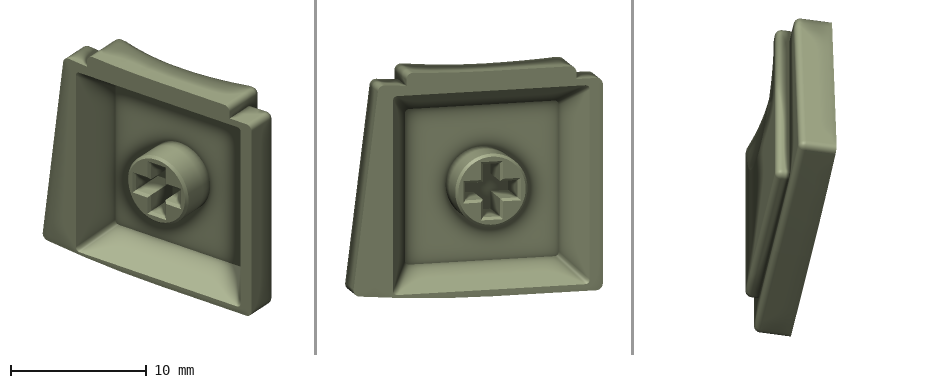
import cadquery as cq
import math


skirt_right = 8.5
skirt_left_bottom = -10.58
skirt_left_top = -8.6
skirt_half_height = 8.0
skirt_thickness = 2.8

crown_left = -6.49
crown_right = 6.5
crown_bottom = -6.5
crown_top = 9.0
crown_thickness = 3.8

bend_radius = 91.3
edge_radius = 0.5

dish_radius = 22.45
dish_depth = 0.7
dish_setback = 0.38

cavity_size = 15.0
cavity_floor_size = 11.74
cavity_depth = 2.7
cavity_corner_radius = 0.4

stem_radius = 2.75
stem_overhang = 0.19
stem_chamfer = 0.19
cross_length = 4.01
cross_width = 1.31
stem_length = cavity_depth + stem_overhang


def facing_plane(y):
    """Workplane at height y with axes X and Z; negative extrusions go toward +Y."""
    return cq.Workplane("XZ", origin=(0, y, 0))


def bent_point(x, z):
    """Point at x on an edge that has height z at X = 0 and bends upward from there."""
    return x, z + bend_radius - math.sqrt(bend_radius**2 - x**2)


def make_block(lower_edge, right, left_top, top, thickness):
    """Slab above a lower edge drawn from left to right; its top edge bends up on the left."""
    outline = lower_edge.lineTo(right, top).lineTo(0, top)
    outline = outline.threePointArc(bent_point(left_top / 2, top), bent_point(left_top, top))
    return outline.close().extrude(-thickness).edges("|Y").fillet(edge_radius)


def make_skirt():
    bottom = -skirt_half_height
    lower_edge = (
        facing_plane(0)
        .moveTo(*bent_point(skirt_left_bottom, bottom))
        .threePointArc(bent_point(skirt_left_bottom / 2, bottom), (0, bottom))
        .lineTo(skirt_right, bottom)
    )
    block = make_block(lower_edge, skirt_right, skirt_left_top, skirt_half_height, skirt_thickness)
    return block.faces(">Y").edges().fillet(edge_radius)


def make_crown():
    lower_edge = (
        facing_plane(0)
        .moveTo(crown_left, crown_bottom)
        .lineTo(crown_right, crown_bottom)
    )
    block = make_block(lower_edge, crown_right, crown_left, crown_top, crown_thickness)

    dish_center = (0, crown_thickness - dish_depth + dish_radius, crown_top - dish_setback)
    dished = block.cut(cq.Workplane("XY").sphere(dish_radius).translate(dish_center))

    face_edges = set(dished.faces(">Y").edges().vals())
    dish_edges = set(dished.faces("%SPHERE").edges().vals())
    return dished.newObject(list(face_edges ^ dish_edges)).fillet(edge_radius)


def make_cavity():
    inset = (cavity_size - cavity_floor_size) / 2
    taper = math.degrees(math.atan(inset / cavity_depth))
    pocket = facing_plane(0).rect(cavity_size, cavity_size).extrude(-cavity_depth, taper=taper)
    return pocket.edges("not #Y").fillet(cavity_corner_radius)


def make_cap():
    return make_skirt().union(make_crown()).cut(make_cavity())


def make_cross_slot():
    tip = facing_plane(-stem_overhang)
    flat_bar = tip.rect(cross_length, cross_width).extrude(-stem_length)
    upright_bar = tip.rect(cross_width, cross_length).extrude(-stem_length)
    return flat_bar.union(upright_bar)


def make_stem():
    post = facing_plane(-stem_overhang).circle(stem_radius).extrude(-stem_length)
    slotted = post.faces("<Y").chamfer(stem_chamfer).cut(make_cross_slot())
    return slotted.faces("<Y").edges("%LINE").chamfer(stem_chamfer)


cap = make_cap()
stem = make_stem()
result = cq.Compound.makeCompound([cap.solids().val(), stem.solids().val()])